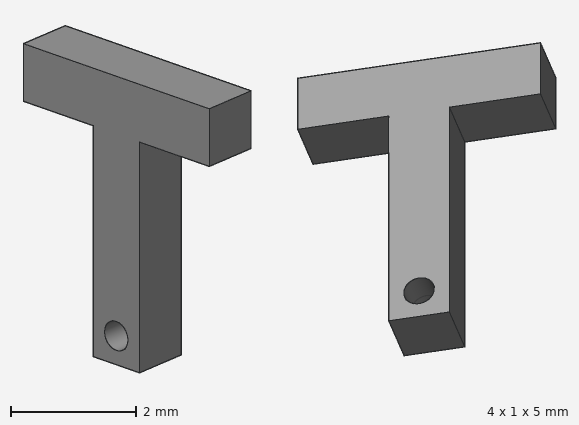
import cadquery as cq

height = 5.0
bar_length = 4.0
section = 1.0
hole_diameter = 0.5
hole_height = section / 2

crossbar = cq.Workplane("XY").box(bar_length, section, section, centered=(True, True, False))
crossbar = crossbar.translate((0, 0, height - section))

stem = cq.Workplane("XY").box(section, section, height - section, centered=(True, True, False))

hole = (
    cq.Workplane("XZ")
    .center(0, hole_height)
    .circle(hole_diameter / 2)
    .extrude(section, both=True)
)

result = crossbar.union(stem).cut(hole).clean()